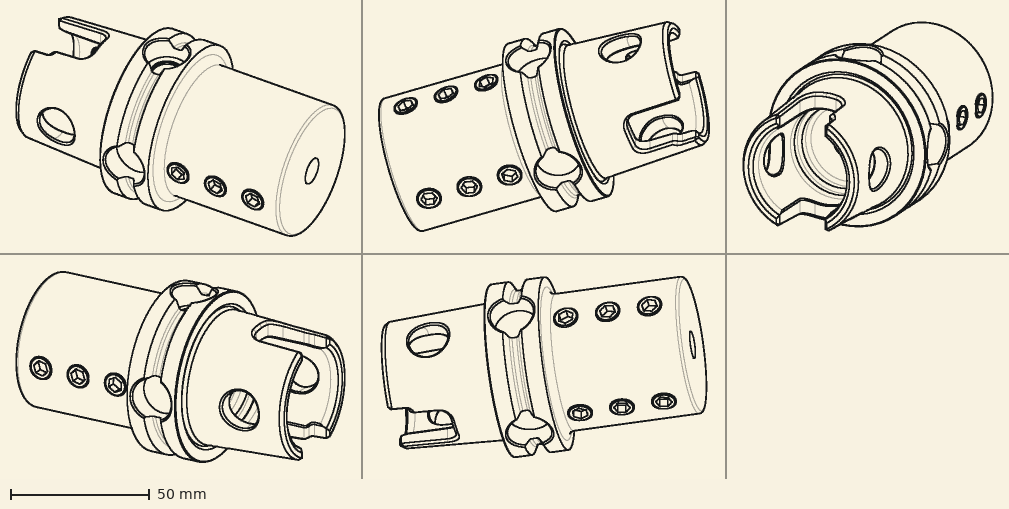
import cadquery as cq
import math

total_length = 110.0

shank_length = 38.8
shank_radius = 25.0
taper_ratio = 0.05
shank_tip_radius = shank_radius - taper_ratio * shank_length
tip_chamfer_length = 1.5
tip_chamfer_depth = 0.9

flange_start = 39.8
flange_end = 59.8
flange_radius = 31.5
flange_middle = 49.9
flange_edge_chamfer = 0.3
relief_outer_radius = 26.8
relief_inner_radius = 25.7
relief_depth = 0.8
groove_radius = 28.0
groove_bottom_width = 3.0
groove_half_angle = 30.0
groove_fillet = 1.1

nose_radius = 25.0
collar_fillet = 3.0
nose_end_fillet = 1.0

mouth_radius = 20.2
mouth_seat_radius = 18.8
mouth_seat_start = 0.9
clamp_bore_radius = 18.0
clamp_bore_start = 3.6
clamp_bore_end = 30.1
lip_radius = 17.5
lip_edge = 32.4
lip_groove_radius = 1.2
step_floor = lip_edge + 2 * lip_groove_radius
inner_bore_radius = 15.6
inner_bore_floor = 39.1
inner_bore_fillet = 1.4
coolant_radius = 4.89

slot_half_width = 8.19
slot_end = 21.83
slot_corner_radius = 4.1
slot_relief_half_width = 10.17
slot_relief_end = 5.9
slot_relief_run = 3.2
slot_mouth_chamfer = 0.9
slot_edge_chamfer = 1.1
slot_inner_chamfer = 0.4

ball_hole_x = 17.6
ball_hole_radius = 7.3
ball_hole_chamfer = 0.8
ball_hole_inner_chamfer = 0.4
ball_seat_radius = 7.1
ball_seat_tilt = 15.0

pocket_radius = 8.0
pocket_chamfer = 0.7
pocket_floor = 22.5
pocket_count = 4
dimple_radius = 5.3
dimple_chamfer = 0.3
dimple_depth = 1.1
drill_tip_angle = 118.0

screw_radius = 4.4
screw_length = 11.0
screw_chamfer = 0.4
socket_circle = 5.8
socket_depth = 3.3
first_screw_x = 68.5
screw_pitch = 15.45
socket_turns = (27.0, -13.0, -13.0)
screw_row_angles = (90, 180, 270)

TOLERANCE = 0.001


def around_axis(shape, angle):
    """Turn a shape about the tool axis; what points to +Z then points to -Y at 90 degrees."""
    return shape.rotate((0, 0, 0), (1, 0, 0), angle)


def revolve_about_axis(profile):
    """Turned shape from an outline drawn as (x, radius)."""
    return profile.close().revolve(360, (0, 0, 0), (1, 0, 0))


def solid_shank():
    """Solid taper with chamfered drive slots and ball holes, and a bevelled tip."""
    shank = revolve_about_axis(
        cq.Workplane("XZ")
        .lineTo(0, shank_tip_radius)
        .lineTo(shank_length, shank_radius)
        .lineTo(shank_length, 0)
    )
    shank = shank.cut(drive_slot())
    slot_edges = shank.edges().filter(is_slot_rim)
    shank = slot_edges.chamfer(slot_edge_chamfer)

    shank = shank.cut(ball_hole())
    hole_edges = shank.edges().filter(is_ball_hole_rim)
    shank = hole_edges.chamfer(ball_hole_chamfer)
    return shank.cut(tip_bevel())


def is_slot_rim(edge):
    """Edges where the slot walls meet the outside of the taper, away from the end faces."""
    middle = edge.Center()
    return abs(middle.z) > clamp_bore_radius and 0 < middle.x < slot_end + slot_edge_chamfer


def is_ball_hole_rim(edge):
    middle = edge.Center()
    near_hole = abs(middle.x - ball_hole_x) < ball_hole_radius and abs(middle.z) < ball_hole_radius
    return near_hole and abs(middle.y) > clamp_bore_radius


def lies_on_clamp_bore(edge):
    """True for an edge that lies on the cylinder of the clamping bore."""
    points = edge.positions([0, 0.3, 0.7, 1])
    return all(abs(math.hypot(p.y, p.z) - clamp_bore_radius) < TOLERANCE for p in points)


def is_slot_bore_rim(edge):
    middle = edge.Center()
    beside_slot = abs(middle.y) < slot_relief_half_width + TOLERANCE
    along_slot = clamp_bore_start < middle.x < slot_end + TOLERANCE
    return beside_slot and along_slot and lies_on_clamp_bore(edge)


def is_ball_hole_bore_rim(edge):
    middle = edge.Center()
    near_hole = abs(middle.x - ball_hole_x) < ball_hole_radius and abs(middle.z) < ball_hole_radius
    return near_hole and lies_on_clamp_bore(edge)


def tip_bevel():
    """Ring that bevels the outer corner of the open end."""
    bevel_end_radius = shank_tip_radius + taper_ratio * tip_chamfer_length
    return revolve_about_axis(
        cq.Workplane("XZ")
        .moveTo(0, shank_tip_radius - tip_chamfer_depth)
        .lineTo(tip_chamfer_length, bevel_end_radius)
        .lineTo(tip_chamfer_length, flange_radius)
        .lineTo(0, flange_radius)
    )


def stepped_bore():
    fillet_start = inner_bore_floor - inner_bore_fillet
    arc_offset = inner_bore_fillet * math.sqrt(0.5)
    return revolve_about_axis(
        cq.Workplane("XZ")
        .lineTo(0, mouth_radius)
        .lineTo(mouth_seat_start, mouth_seat_radius)
        .lineTo(clamp_bore_start, clamp_bore_radius)
        .lineTo(clamp_bore_end, clamp_bore_radius)
        .lineTo(lip_edge, lip_radius)
        .threePointArc(
            (lip_edge + lip_groove_radius, lip_radius + lip_groove_radius),
            (step_floor, lip_radius),
        )
        .lineTo(step_floor, inner_bore_radius)
        .lineTo(fillet_start, inner_bore_radius)
        .threePointArc(
            (fillet_start + arc_offset, inner_bore_radius - inner_bore_fillet + arc_offset),
            (inner_bore_floor, inner_bore_radius - inner_bore_fillet),
        )
        .lineTo(inner_bore_floor, 0)
    )


def drive_slot():
    """Prism along Z; the -Y wall steps outward near the mouth through an S of two arcs."""
    corner_start = slot_end - slot_corner_radius
    corner_y = slot_half_width - slot_corner_radius
    relief_mid_x = slot_relief_end + slot_relief_run / 2
    relief_mid_y = -(slot_half_width + slot_relief_half_width) / 2
    return (
        cq.Workplane("XY")
        .moveTo(0, slot_half_width + slot_mouth_chamfer)
        .lineTo(slot_mouth_chamfer, slot_half_width)
        .lineTo(corner_start, slot_half_width)
        .tangentArcPoint((slot_end, corner_y), relative=False)
        .lineTo(slot_end, -corner_y)
        .tangentArcPoint((corner_start, -slot_half_width), relative=False)
        .lineTo(slot_relief_end + slot_relief_run, -slot_half_width)
        .tangentArcPoint((relief_mid_x, relief_mid_y), relative=False)
        .tangentArcPoint((slot_relief_end, -slot_relief_half_width), relative=False)
        .lineTo(slot_mouth_chamfer, -slot_relief_half_width)
        .lineTo(0, -slot_relief_half_width - slot_mouth_chamfer)
        .close()
        .extrude(shank_radius, both=True)
    )


def ball_hole():
    """Cross hole along Y through both walls."""
    return (
        cq.Workplane("XZ")
        .center(ball_hole_x, 0)
        .circle(ball_hole_radius)
        .extrude(flange_radius, both=True)
    )


def ball_seat(side):
    """Tilted cylinder that widens one ball hole inward; it pivots about the hole's outer rim."""
    return (
        cq.Workplane("XZ")
        .circle(ball_seat_radius)
        .extrude(side * shank_tip_radius)
        .rotate((0, 0, 0), (0, 0, 1), -side * ball_seat_tilt)
        .translate((ball_hole_x, side * shank_tip_radius, 0))
    )


def ball_hole_with_seats():
    return ball_hole().union(ball_seat(1)).union(ball_seat(-1))


def flange():
    """Disc with a recessed contact face, four chamfered pockets and a V groove."""
    disc = revolve_about_axis(
        cq.Workplane("XZ")
        .moveTo(shank_length, 0)
        .lineTo(shank_length, shank_radius)
        .lineTo(flange_start + relief_depth, relief_inner_radius)
        .lineTo(flange_start, relief_outer_radius)
        .lineTo(flange_start, flange_radius - flange_edge_chamfer)
        .lineTo(flange_start + flange_edge_chamfer, flange_radius)
        .lineTo(flange_end, flange_radius)
        .lineTo(flange_end, 0)
    )
    for _ in range(pocket_count):
        disc = disc.cut(pocket())
        disc = disc.edges().filter(is_top_pocket_rim).chamfer(pocket_chamfer)
        disc = around_axis(disc, 360 / pocket_count)
    return disc.cut(v_groove()).cut(dimple())


def pocket():
    """Flat-bottomed round pocket in the +Z side of the flange."""
    return (
        cq.Workplane("XY", origin=(flange_middle, 0, pocket_floor))
        .circle(pocket_radius)
        .extrude(flange_radius)
    )


def is_top_pocket_rim(edge):
    middle = edge.Center()
    near_pocket = abs(middle.x - flange_middle) < pocket_radius and abs(middle.y) < pocket_radius
    return near_pocket and middle.z > (flange_radius + groove_radius) / 2


def v_groove():
    """Ring-shaped V groove with rounded bottom corners."""
    slope = math.tan(math.radians(groove_half_angle))
    bottom_half = groove_bottom_width / 2
    top_half = bottom_half + (flange_radius - groove_radius) * slope
    section = (
        cq.Workplane("XZ", origin=(flange_middle, 0, 0))
        .moveTo(-bottom_half, groove_radius)
        .lineTo(bottom_half, groove_radius)
        .lineTo(top_half, flange_radius)
        .lineTo(-top_half, flange_radius)
    )
    groove = revolve_about_axis(section)
    bottom_edges = groove.edges(cq.selectors.RadiusNthSelector(0))
    return bottom_edges.fillet(groove_fillet)


def dimple():
    """Drilled blind hole with a conical tip in the floor of the +Z pocket."""
    tip_depth = dimple_radius / math.tan(math.radians(drill_tip_angle / 2))
    return (
        cq.Workplane("XZ")
        .lineTo(dimple_radius + dimple_chamfer, 0)
        .lineTo(dimple_radius, -dimple_chamfer)
        .lineTo(dimple_radius, -dimple_depth)
        .lineTo(0, -dimple_depth - tip_depth)
        .close()
        .revolve(360, (0, 0, 0), (0, 1, 0))
        .translate((flange_middle, 0, pocket_floor))
    )


def nose():
    """Cylinder behind the flange, with a fillet at the flange and a rounded end."""
    fillet_middle = collar_fillet * (1 - math.sqrt(0.5))
    profile = (
        cq.Workplane("XZ")
        .moveTo(flange_end, 0)
        .lineTo(flange_end, nose_radius + collar_fillet)
        .threePointArc(
            (flange_end + fillet_middle, nose_radius + fillet_middle),
            (flange_end + collar_fillet, nose_radius),
        )
        .lineTo(total_length - nose_end_fillet, nose_radius)
        .tangentArcPoint((total_length, nose_radius - nose_end_fillet), relative=False)
        .lineTo(total_length, 0)
    )
    return around_axis(revolve_about_axis(profile), 90)


def coolant_hole():
    return cq.Workplane("YZ").circle(coolant_radius).extrude(total_length)


def screw_blank(position):
    """Plain cylinder that fills a screw's hole, under the +Z side of the nose."""
    return (
        cq.Workplane("XY", origin=(position, 0, nose_radius - screw_length))
        .circle(screw_radius)
        .extrude(screw_length)
    )


def screw_hole(position):
    """Blind hole for one screw, open to the outside."""
    return screw_blank(position).faces(">Z").workplane().circle(screw_radius).extrude(screw_radius)


def set_screw(position, turn):
    """Set screw with a bevelled rim and a hexagon socket."""
    socket = (
        cq.Workplane("XY")
        .polygon(6, socket_circle)
        .extrude(socket_depth)
        .rotate((0, 0, 0), (0, 0, 1), turn)
        .translate((position, 0, nose_radius - socket_depth))
    )
    return screw_blank(position).faces(">Z").chamfer(screw_chamfer).cut(socket)


def holder():
    body = solid_shank().union(flange()).union(nose())
    body = body.cut(stepped_bore()).cut(ball_hole_with_seats())
    body = body.edges().filter(is_slot_bore_rim).chamfer(slot_inner_chamfer)
    body = body.edges().filter(is_ball_hole_bore_rim).chamfer(ball_hole_inner_chamfer)
    body = body.cut(coolant_hole())
    for angle in screw_row_angles:
        for position in screw_positions:
            body = body.cut(around_axis(screw_hole(position), angle))
    return body


screw_positions = [first_screw_x + i * screw_pitch for i in range(len(socket_turns))]

tool_holder = holder()
set_screws = [
    around_axis(set_screw(position, turn), angle)
    for angle in screw_row_angles
    for position, turn in zip(screw_positions, socket_turns)
]

result = cq.Compound.makeCompound([tool_holder.val(), *[screw.val() for screw in set_screws]])